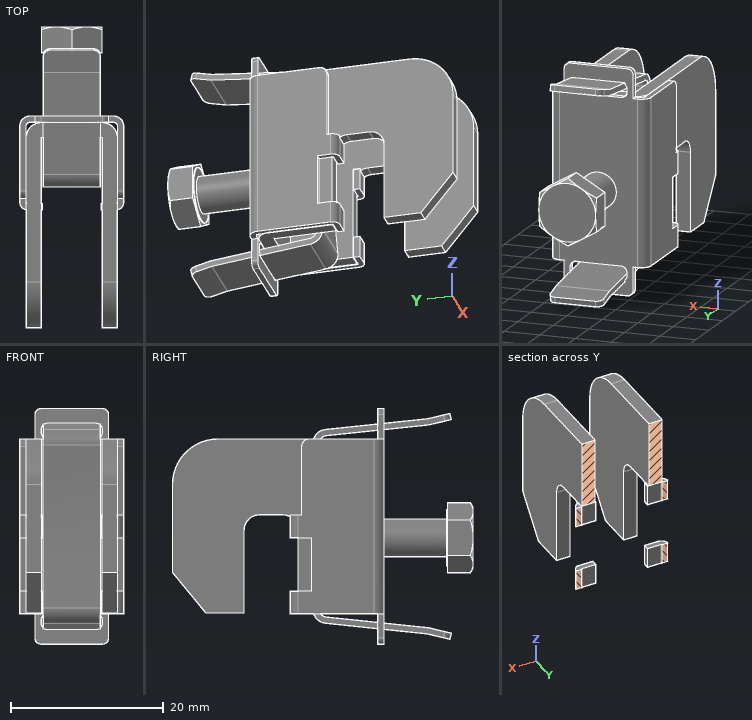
import cadquery as cq
import math


sheet = 0.85
fork_width = 12.0
fork_plate = 2.0
body_top = 11.5
overall_length = 39.55
front_end = -27.85
throat_top = 1.5
bolt_z = -1.5
bolt_dia = 5.0

fork_bottom = -11.4
fork_rear = -sheet
throat_rear = -11.35
throat_front = -18.4
throat_radius = 2.0
nose_radius = 6.0
chamfer_length = 4.4
chamfer_height = 5.35
fork_gap = fork_width - 2 * fork_plate

cage_width = fork_width + 2 * sheet
cage_depth = 12.35
rear_bend_radius = 1.35
lip_bend_radius = 1.0
lip_opening = 7.7
wall_front = -10.85
wall_corner_radius = 1.0
notch_rear = -9.55
notch_top = -1.5
notch_bottom = -8.5
strap_height = 31.0
slot_width = 8.0
strap_width = slot_width + 2 * sheet
strap_corner_radius = 0.8
slot_top = 13.57
slot_bottom = body_top
slot_corner_radius = 0.85

bolt_rear = front_end + overall_length
head_height = 3.4
head_flats = 8.0
head_corners = head_flats / math.cos(math.radians(30))
head_chamfer_angle = math.radians(30)
washer_height = 0.1
washer_dia = 7.4
shank_length = 16.0

spring_width = 7.5
spring_bend_inner = 1.0
spring_bend_outer = spring_bend_inner + sheet
bend_y = -7.52
bend_z = 10.91
arm_angle = math.radians(6)
tip_angle = math.radians(13.5)
wall_end_angle = math.radians(6.5)
kink_y = 5.73
tip_length = 3.0
tip_corner_radius = 0.9


def block(x, y, z):
    """Box from three (low, high) ranges."""
    size = (x[1] - x[0], y[1] - y[0], z[1] - z[0])
    return cq.Workplane("XY").box(*size, centered=False).translate((x[0], y[0], z[0]))


def bolt_hole():
    """Cutter for the hole through the fork web and the rear of the cage."""
    return (
        cq.Workplane("XZ", origin=(0, 0, bolt_z)).circle(bolt_dia / 2)
        .extrude(bolt_dia, both=True)
    )


def make_fork():
    """U-shaped plate whose two arms end in downward hooks."""
    side = (
        cq.Workplane("YZ")
        .moveTo(fork_rear, fork_bottom)
        .lineTo(fork_rear, body_top)
        .lineTo(front_end + nose_radius, body_top)
        .radiusArc((front_end, body_top - nose_radius), -nose_radius)
        .lineTo(front_end, fork_bottom + chamfer_height)
        .lineTo(front_end + chamfer_length, fork_bottom)
        .lineTo(throat_front, fork_bottom)
        .lineTo(throat_front, throat_top - throat_radius)
        .radiusArc((throat_front + throat_radius, throat_top), throat_radius)
        .lineTo(throat_rear - throat_radius, throat_top)
        .radiusArc((throat_rear, throat_top - throat_radius), throat_radius)
        .lineTo(throat_rear, fork_bottom)
        .close()
        .extrude(fork_width / 2, both=True)
    )
    side = side.edges("|Z and >Y").fillet(fork_plate)
    gap = block(
        (-fork_gap / 2, fork_gap / 2), (front_end, fork_rear - fork_plate), (fork_bottom, body_top)
    )
    return side.cut(gap).cut(make_tab_seat()).cut(bolt_hole())


def make_tab_seat():
    """Recess in the rear throat corner that clears the upper cage tabs."""
    across = (-fork_width / 2, fork_width / 2)
    return block(across, (-cage_depth, throat_rear), (notch_top, throat_top))


def make_cage():
    """Channel folded around the fork, with front tabs and a slotted strap across its back."""
    half_width = cage_width / 2
    cage = block((-half_width, half_width), (-cage_depth, 0), (-body_top, body_top))
    cage = cage.edges("|Z and >Y").fillet(rear_bend_radius)
    cage = cage.edges("|Z and <Y").fillet(lip_bend_radius)

    inner = half_width - sheet
    cavity = block((-inner, inner), (sheet - cage_depth, -sheet), (-body_top, body_top))
    cavity = cavity.edges("|Z and >Y").fillet(rear_bend_radius - sheet)
    cavity = cavity.edges("|Z and <Y").fillet(lip_bend_radius - sheet)
    mouth = block(
        (-lip_opening / 2, lip_opening / 2), (-cage_depth, sheet - cage_depth), (-body_top, body_top)
    )
    cage = cage.cut(cavity).cut(mouth)

    across = (-half_width, half_width)
    above_tab = block(across, (-cage_depth, wall_front), (throat_top, body_top))
    notch = block(across, (-cage_depth, notch_rear), (notch_bottom, notch_top))
    cage = cage.cut(above_tab).cut(notch)
    corner = cq.selectors.BoxSelector(
        (-cage_width, wall_front - sheet / 2, body_top - sheet / 2),
        (cage_width, wall_front + sheet / 2, body_top + sheet / 2),
    )
    cage = cage.edges("|X").edges(corner).fillet(wall_corner_radius)
    return cage.union(make_strap()).cut(bolt_hole())


def make_strap():
    """Upright back strap with a slot above and below the channel for the spring arms."""
    strap = (
        cq.Workplane("XZ").rect(strap_width, strap_height).extrude(sheet)
        .edges("|Y").fillet(strap_corner_radius)
    )
    for side in (-1, 1):
        slot = (
            cq.Workplane("XZ", origin=(0, 0, side * (slot_top + slot_bottom) / 2))
            .rect(slot_width, slot_top - slot_bottom).extrude(sheet)
            .edges("|Y").fillet(slot_corner_radius)
        )
        strap = strap.cut(slot)
    return strap


def make_bolt():
    """Hexagon bolt along Y with two corners pointing up and down."""
    head_front = bolt_rear - head_height
    axis = cq.Workplane("XZ", origin=(0, bolt_rear, bolt_z))
    head = axis.transformed(rotate=(0, 0, 90)).polygon(6, head_corners).extrude(head_height)

    rear_radius = head_flats / 2
    cone_radius = rear_radius + head_height / math.tan(head_chamfer_angle)
    rounding = (
        cq.Workplane("XY")
        .polyline([
            (0, bolt_rear),
            (rear_radius, bolt_rear),
            (cone_radius, head_front),
            (0, head_front),
        ])
        .close()
        .revolve(360, (0, 0, 0), (0, 1, 0))
        .translate((0, 0, bolt_z))
    )
    head = head.intersect(rounding)
    bearing = cq.Workplane("XZ", origin=(0, head_front, bolt_z))
    washer = bearing.circle(washer_dia / 2).extrude(washer_height)
    shank = bearing.circle(bolt_dia / 2).extrude(washer_height + shank_length)
    return head.union(washer).union(shank)


def spring_half_points(offset):
    """Points of one spring surface from tip to wall end, at a radius from the bend centre."""
    bend_start = (bend_y - offset * math.sin(arm_angle), bend_z + offset * math.cos(arm_angle))
    bend_end = (
        bend_y - offset * math.cos(wall_end_angle),
        bend_z - offset * math.sin(wall_end_angle),
    )
    middle_angle = (arm_angle + wall_end_angle) / 2 + math.pi / 4
    bend_middle = (
        bend_y - offset * math.sin(middle_angle),
        bend_z + offset * math.cos(middle_angle),
    )
    mitre_angle = (arm_angle + tip_angle) / 2
    depth = (spring_bend_outer - offset) / math.cos((tip_angle - arm_angle) / 2)
    outer_start_y = bend_y - spring_bend_outer * math.sin(arm_angle)
    outer_start_z = bend_z + spring_bend_outer * math.cos(arm_angle)
    kink_z = outer_start_z + (kink_y - outer_start_y) * math.tan(arm_angle)
    kink = (kink_y + depth * math.sin(mitre_angle), kink_z - depth * math.cos(mitre_angle))
    tip_inset = spring_bend_outer - offset
    tip = (
        kink_y + tip_length * math.cos(tip_angle) + tip_inset * math.sin(tip_angle),
        kink_z + tip_length * math.sin(tip_angle) - tip_inset * math.cos(tip_angle),
    )
    return tip, kink, bend_start, bend_middle, bend_end


def wall_middle(offset):
    """Mid-height point of the bowed wall, whose arc is tangent to both bends."""
    centre_distance = bend_z / math.sin(wall_end_angle)
    wall_centre_y = bend_y - centre_distance * math.cos(wall_end_angle)
    return (wall_centre_y + centre_distance - offset, 0)


def mirrored(point):
    """Point reflected to the lower half of the spring."""
    return (point[0], -point[1])


def make_spring():
    """C-shaped leaf spring: a bowed front wall with two arms flaring to the rear."""
    tip_o, kink_o, start_o, middle_o, end_o = spring_half_points(spring_bend_outer)
    tip_i, kink_i, start_i, middle_i, end_i = spring_half_points(spring_bend_inner)
    spring = (
        cq.Workplane("YZ")
        .moveTo(*tip_o).lineTo(*kink_o).lineTo(*start_o)
        .threePointArc(middle_o, end_o)
        .threePointArc(wall_middle(spring_bend_outer), mirrored(end_o))
        .threePointArc(mirrored(middle_o), mirrored(start_o))
        .lineTo(*mirrored(kink_o)).lineTo(*mirrored(tip_o)).lineTo(*mirrored(tip_i))
        .lineTo(*mirrored(kink_i)).lineTo(*mirrored(start_i))
        .threePointArc(mirrored(middle_i), mirrored(end_i))
        .threePointArc(wall_middle(spring_bend_inner), end_i)
        .threePointArc(middle_i, start_i)
        .lineTo(*kink_i).lineTo(*tip_i).close()
        .extrude(spring_width / 2, both=True)
    )
    tip_corners = cq.selectors.BoxSelector(
        (-spring_width, tip_o[0] - sheet / 2, -strap_height),
        (spring_width, tip_o[0] + sheet, strap_height),
    )
    shortest = cq.selectors.LengthNthSelector(0)
    return spring.edges("not |X").edges(tip_corners).edges(shortest).fillet(tip_corner_radius)


fork = make_fork()
bolt = make_bolt()
spring = make_spring()
cage = make_cage().cut(spring)

bodies = (fork, cage, bolt, spring)
result = cq.Compound.makeCompound([body.solids().val() for body in bodies])